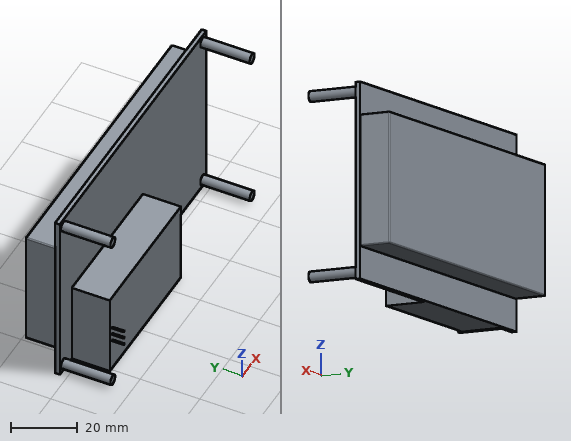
import cadquery as cq

plate_width = 98.0
plate_height = 60.2
plate_thickness = 1.6

total_depth = 28.1
post_length = 16.6
housing_depth = total_depth - post_length - plate_thickness
housing_width = 97.8
housing_height = 40.2
housing_edge_radius = 0.4

post_diameter = 3.3
post_spacing_x = 93.1
post_spacing_z = 55.1

block_width = 47.5
block_height = 28.4
block_depth = 12.7
block_left_offset = 8.0

pin_count = 3
pin_pitch = 2.5
pin_diameter = 0.5
pin_left_offset = 1.9
pin_row_height = 13.5

plate_left = -plate_width / 2
plate_bottom = -plate_height / 2
block_left = plate_left + block_left_offset


def box(width, depth, height, x_center, y_front, z_center):
    """Box centred in X and Z, reaching backwards (+Y) from y_front."""
    solid = cq.Workplane("XY").box(width, depth, height, centered=(True, False, True))
    return solid.translate((x_center, y_front, z_center))


def rods(diameter, y_front, length, centers):
    """Round rods along +Y from y_front, at (x, z) centres."""
    plane = cq.Workplane("XZ", origin=(0, y_front, 0))
    return plane.pushPoints(centers).circle(diameter / 2).extrude(-length)


plate = box(plate_width, plate_thickness, plate_height, 0, 0, 0)

housing = box(housing_width, housing_depth, housing_height, 0, plate_thickness, 0)
housing = housing.edges("|Y or >Y").fillet(housing_edge_radius)

block_center_x = block_left + block_width / 2
block_center_z = plate_bottom + block_height / 2
block = box(block_width, block_depth, block_height, block_center_x, -block_depth, block_center_z)

post_centers = [
    (side_x * post_spacing_x / 2, side_z * post_spacing_z / 2)
    for side_x in (-1, 1)
    for side_z in (-1, 1)
]
posts = rods(post_diameter, -post_length, post_length, post_centers)

pin_x = block_left + pin_left_offset
pin_middle_z = plate_bottom + pin_row_height
pin_centers = [
    (pin_x, pin_middle_z + (index - (pin_count - 1) / 2) * pin_pitch)
    for index in range(pin_count)
]
pins = rods(pin_diameter, -post_length, post_length - block_depth, pin_centers)

result = plate.union(housing).union(block).union(posts).union(pins)